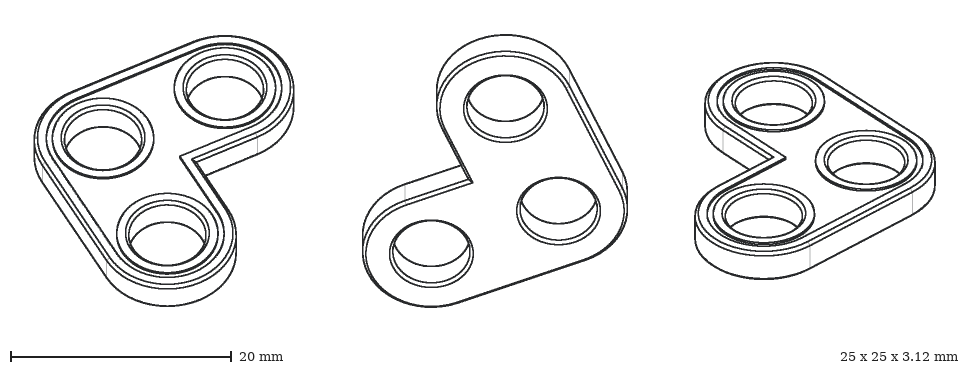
import cadquery as cq
import math

length = 25.0
thickness = 3.12
hole_diameter = 7.0
collar_diameter = 9.2
edge_chamfer = 0.3
rim_width = 1.1
recess_depth = 0.2

arm_radius = length / 4
near = arm_radius
far = length - arm_radius
hole_centres = [(near, near), (far, near), (near, far)]


def l_outline(workplane, inset):
    """Closed L-shaped outline with rounded ends, moved inward by inset."""
    radius = arm_radius - inset
    low = near - radius
    inner = near + radius
    end = far + radius
    diagonal = radius * math.sqrt(0.5)
    return (
        workplane.moveTo(near, low)
        .lineTo(far, low)
        .threePointArc((end, near), (far, inner))
        .lineTo(inner, inner)
        .lineTo(inner, far)
        .threePointArc((near, end), (low, far))
        .lineTo(low, near)
        .threePointArc((near - diagonal, near - diagonal), (near, low))
        .close()
    )


plate = l_outline(cq.Workplane("XY"), 0).extrude(thickness)
plate = plate.faces("<Z or >Z").chamfer(edge_chamfer)

floor_plane = cq.Workplane("XY").workplane(offset=thickness - recess_depth)
recess = l_outline(floor_plane, rim_width).extrude(recess_depth)
collars = floor_plane.pushPoints(hole_centres).circle(collar_diameter / 2).extrude(recess_depth)
plate = plate.cut(recess.cut(collars))


def hole_cutter(centre):
    """Through hole with a chamfered mouth at both ends."""
    radius = hole_diameter / 2
    mouth = radius + edge_chamfer
    profile = [
        (0, 0),
        (mouth, 0),
        (radius, edge_chamfer),
        (radius, thickness - edge_chamfer),
        (mouth, thickness),
        (0, thickness),
    ]
    cutter = cq.Workplane("XZ").polyline(profile).close().revolve(360, (0, 0), (0, 1))
    return cutter.translate((centre[0], centre[1], 0))


for hole_centre in hole_centres:
    plate = plate.cut(hole_cutter(hole_centre))

result = plate